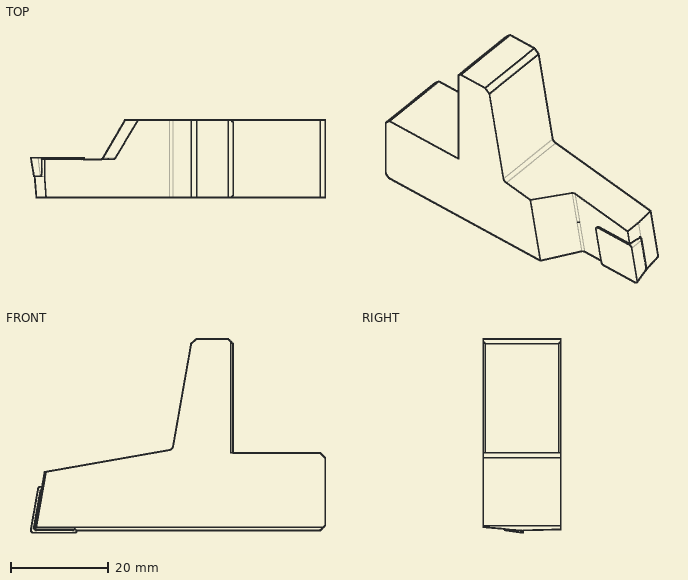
import cadquery as cq
import math

length = 60.7
width = 16.0
height = 40.0
rake = math.tan(math.radians(10))

sole_z = 0.5
deck_z = 16.5
nose_top_x = 2.85
nose_top_z = 12.55
tower_foot_x = 29.2
tower_back_x = 41.7
outline_chamfer = 1.05
tower_front_chamfer = 1.0
tower_edge_chamfer = 0.5
tower_foot_radius = 0.9

blade_thickness = 7.9
front_relief = math.tan(math.radians(5))
back_relief = math.tan(math.radians(1.5))
nose_relief = math.tan(math.radians(4))
shoulder_foot_x = 14.7
shoulder_angle = math.radians(60)
shoulder_radius = 0.6

insert_side = 9.6
insert_height = 9.5
insert_seat_y = 4.4
insert_face_y = 8.25
insert_corner_radius = 0.6
insert_relief_angle = 8
insert_foot_x = -0.115

margin = 3.05


def nose_x(z):
    """Nose edge position at height z, behind the relieved flank."""
    return nose_top_x - rake * (nose_top_z - z)


def make_blank():
    """Extruded holder outline with the chamfered tower and rounded tower foot."""
    foot_z = nose_top_z + rake * (tower_foot_x - nose_top_x)
    tower_top_x = tower_foot_x + rake * (height - foot_z)
    blank = (
        cq.Workplane("XZ")
        .moveTo(nose_x(0), 0)
        .lineTo(length - outline_chamfer - sole_z, 0)
        .lineTo(length, outline_chamfer + sole_z)
        .lineTo(length, deck_z - outline_chamfer)
        .lineTo(length - outline_chamfer, deck_z)
        .lineTo(tower_back_x, deck_z)
        .lineTo(tower_back_x, height - outline_chamfer)
        .lineTo(tower_back_x - outline_chamfer, height)
        .lineTo(tower_top_x + tower_front_chamfer, height)
        .lineTo(tower_top_x - rake * tower_front_chamfer, height - tower_front_chamfer)
        .lineTo(tower_foot_x, foot_z)
        .lineTo(nose_top_x, nose_top_z)
        .close()
        .extrude(-width)
    )
    foot_edge = cq.selectors.NearestToPointSelector((tower_foot_x, width / 2, foot_z))
    return blank.edges(foot_edge).fillet(tower_foot_radius)


def make_tower_edge_cutter(y, inward):
    """Triangular prism that chamfers one upright back edge of the tower."""
    return (
        cq.Workplane("XY", origin=(0, 0, deck_z))
        .moveTo(tower_back_x, y)
        .lineTo(tower_back_x - tower_edge_chamfer, y)
        .lineTo(tower_back_x, y + inward * tower_edge_chamfer)
        .close()
        .extrude(height - deck_z)
    )


def make_underside_cutter():
    """Everything below the two relief planes, which meet in a ridge along X."""
    front_z = sole_z + front_relief * blade_thickness
    back_z = sole_z + back_relief * (width - blade_thickness)
    return (
        cq.Workplane("YZ", origin=(-margin, 0, 0))
        .polyline(
            [(0, -margin), (0, front_z), (blade_thickness, sole_z), (width, back_z), (width, -margin)]
        )
        .close()
        .extrude(length + 2 * margin)
    )


def sweep_along_rake(sketch):
    """Extrude a horizontal outline up from the sole line along the raked direction."""
    rise = deck_z + 2 * margin
    path = cq.Workplane("XZ").moveTo(0, -margin).lineTo(rake * rise, rise - margin)
    return sketch.sweep(path)


def base_x(x_at_sole):
    """Move an X position down the rake from the sole line to the sweep start."""
    return x_at_sole - rake * (sole_z + margin)


def make_nose_relief_cutter():
    """Wedge that sets the nose flank back toward the front face."""
    x = base_x(nose_x(sole_z))
    sketch = (
        cq.Workplane("XY", origin=(0, 0, -margin))
        .moveTo(x, insert_seat_y)
        .lineTo(x + nose_relief * insert_seat_y, 0)
        .lineTo(x, 0)
        .close()
    )
    return sweep_along_rake(sketch)


def make_shoulder_cutter():
    """Space behind the thin blade, ending at the slanted shoulder with a rounded foot."""
    foot_x = base_x(shoulder_foot_x)
    arc_x = foot_x - shoulder_radius * math.tan(shoulder_angle / 2)
    depth = width - blade_thickness

    def round_point(turn):
        """Point on the foot round after turning away from the blade face."""
        return (
            arc_x + shoulder_radius * math.sin(turn),
            blade_thickness + shoulder_radius * (1 - math.cos(turn)),
        )

    sketch = (
        cq.Workplane("XY", origin=(0, 0, -margin))
        .moveTo(-2 * margin, blade_thickness)
        .lineTo(arc_x, blade_thickness)
        .threePointArc(round_point(shoulder_angle / 2), round_point(shoulder_angle))
        .lineTo(foot_x + depth / math.tan(shoulder_angle), width)
        .lineTo(-2 * margin, width)
        .close()
    )
    return sweep_along_rake(sketch)


def make_insert():
    """Rhomboid cutting insert, tapering from its exposed face down to its seat."""
    lean = rake * insert_height
    right_x = insert_foot_x + insert_side
    prism = (
        cq.Workplane("XZ", origin=(0, insert_face_y, 0))
        .polyline(
            [
                (insert_foot_x, 0),
                (right_x, 0),
                (right_x + lean, insert_height),
                (insert_foot_x + lean, insert_height),
            ]
        )
        .close()
        .extrude(insert_face_y - insert_seat_y, taper=insert_relief_angle)
    )
    return prism.edges("not(<Y or >Y)").fillet(insert_corner_radius)


def make_holder(insert):
    """Tool holder with the insert's seat cut to match it."""
    holder = make_blank()
    for y, inward in ((0, 1), (width, -1)):
        holder = holder.cut(make_tower_edge_cutter(y, inward))
    holder = holder.cut(make_underside_cutter())
    holder = holder.cut(make_nose_relief_cutter())
    holder = holder.cut(make_shoulder_cutter())
    return holder.cut(insert)


insert = make_insert()
holder = make_holder(insert)
result = cq.Compound.makeCompound([*holder.solids().vals(), *insert.solids().vals()])